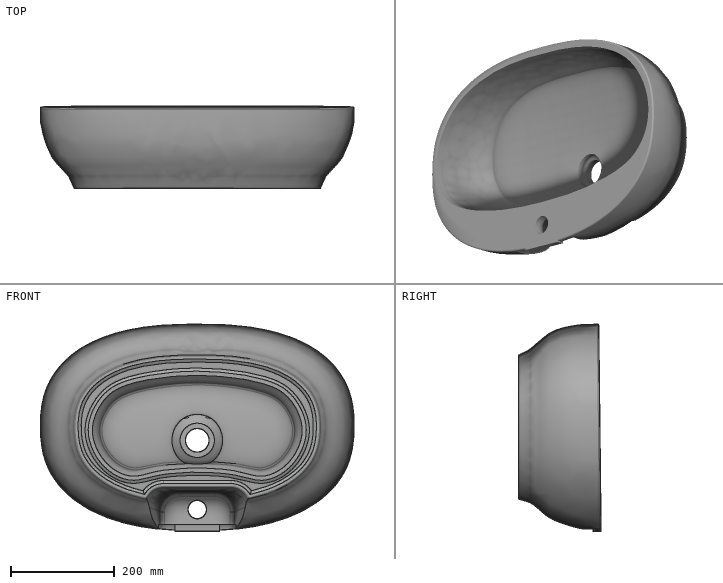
import cadquery as cq
import math


WIDTH = 605.62
TOTAL_DEPTH = 159.59
HEIGHT = 399.36
FOOT_Y = -TOTAL_DEPTH / 2
TOP_Z = HEIGHT / 2
BOTTOM_Z = -HEIGHT / 2

UPPER_EXPONENT = 2.45
LOWER_EXPONENT = 2.33
OVAL_POINTS = 24
LOOP_POINTS = 24

FOOT_SECTION = (0, 237, 140, 145)
BODY_SECTIONS = [
    FOOT_SECTION,
    (11, 240.5, 144, 148),
    (26, 249, 152.5, 153),
    (48, 270, 173, 170),
    (70, 284.5, 187, 183),
    (106, 297.5, 196.5, 194.5),
    (138, 302.6, TOP_Z - 0.1, 198.7),
    (TOTAL_DEPTH, WIDTH / 2, TOP_Z, 199),
]
RIM_SETBACK = 4.5
RIM_FILLET = 3
FOOT_FILLET = 2

BOWL_FLOOR_THICKNESS = 12
BOWL_SECTIONS = [
    (28, 195, 100, 85),
    (70, 262, 166, 100),
    (106, 281, 181, 108),
    (TOTAL_DEPTH, 288, 185, 112),
]

BEAN_HALF = [
    (0, 101),
    (60, 97.5),
    (118, 87.5),
    (150, 75.5),
    (178, 55),
    (202, -4),
    (173, -70),
    (122, -93.5),
    (88, -86.5),
    (45, -79.5),
    (0, -77.5),
]
POCKET_DEPTH = 40
POCKET_WALL_RUN = 22
POCKET_FILLET = 4
FLOOR_DEPTH = 16.5
FLOOR_RADIUS_X = 1550
FLOOR_RADIUS_Z = 500

CUT_MARGIN = 1

GROOVE_DEPTH = 4
GROOVE_WALL_RUN = 6
OUTER_LAND = 7.5
INNER_LAND = 8

DRAIN_Z = -24.2
BOSS_DEPTH = 2
BOSS_RADIUS = 33
BOSS_BASE_RADIUS = 50
DRAIN_RADIUS = 22.5
DRAIN_SEAT_DEPTH = BOSS_DEPTH + 15
DRAIN_SEAT_RADIUS = 32
DRAIN_SEAT_HEIGHT = 20

DECK_DEPTH = 140
NOTCH_FOOT = (100, -115, 35)
NOTCH_DECK = (70, -125.5, 37)
NOTCH_FILLET = 8
TAP_Z = -157.5
TAP_RADIUS = 17.5
TAB_WIDTH = 86
TAB_TOP_Z = -186
TAB_DEPTH = 144
REBATE_WIDTH = 150
REBATE_START_DEPTH = 120
REBATE_DEPTH = 148


def at_depth(depth):
    """Plane across the part; its local Y is +Z and it extrudes towards the rim."""
    plane = cq.Plane(origin=(0, FOOT_Y + depth, 0), xDir=(-1, 0, 0), normal=(0, 1, 0))
    return cq.Workplane(plane)


def smooth_loop(depth, points):
    """Closed spline with evenly numbered knots, so that stacked loops loft cleanly."""
    knots = range(len(points) + 1)
    return at_depth(depth).spline(points, periodic=True, parameters=knots).close()


def oval_points(half_width, top, bottom):
    """Points round an oval, starting at its lowest point."""
    points = []
    for i in range(OVAL_POINTS):
        angle = -math.pi / 2 - 2 * math.pi * i / OVAL_POINTS
        across = abs(math.cos(angle)) / half_width
        up = math.sin(angle)
        height, power = (top, UPPER_EXPONENT) if up >= 0 else (bottom, LOWER_EXPONENT)
        radius = (across**power + (abs(up) / height) ** power) ** (-1 / power)
        points.append((radius * math.cos(angle), radius * up))
    return points


def oval(depth, half_width, top, bottom):
    return smooth_loop(depth, oval_points(half_width, top, bottom))


def oval_loft(sections):
    wires = [oval(*section).val() for section in sections]
    return cq.Workplane(cq.Solid.makeLoft(wires))


def loft(wires):
    return cq.Workplane(cq.Solid.makeLoft(wires, True))


def offset_loop(loop, depth, distance):
    """Smooth wire lying the given distance outside a foot outline, moved to a depth."""
    edge = loop.edges().val()
    points = []
    for i in range(LOOP_POINTS):
        position = edge.positionAt(i / LOOP_POINTS)
        tangent = edge.tangentAt(i / LOOP_POINTS)
        points.append((position.x + distance * tangent.z, position.z - distance * tangent.x))
    return smooth_loop(depth, [(-x, z) for x, z in points]).val()


def flared(loop, start_depth, end_depth, foot_offset, slope):
    """Solid with sloping walls that lie foot_offset outside the loop in the foot plane."""
    return loft([
        offset_loop(loop, depth, foot_offset + slope * depth) for depth in (start_depth, end_depth)
    ])


def bean(depth):
    left_half = [(-x, z) for x, z in BEAN_HALF[-2:0:-1]]
    return smooth_loop(depth, BEAN_HALF + left_half)


def notch_outline(depth, half_width, top_z, radius):
    """Door-shaped outline open towards -Z, closed well below the part."""
    base_z = 2 * BOTTOM_Z
    diagonal = radius * (1 - math.sqrt(0.5))
    return (
        at_depth(depth)
        .moveTo(-half_width, base_z)
        .lineTo(-half_width, top_z - radius)
        .threePointArc((-half_width + diagonal, top_z - diagonal), (-half_width + radius, top_z))
        .lineTo(half_width - radius, top_z)
        .threePointArc((half_width - diagonal, top_z - diagonal), (half_width, top_z - radius))
        .lineTo(half_width, base_z)
        .close()
    )


def widened_notch(depth, margin):
    half_width, top_z, radius = NOTCH_FOOT
    return notch_outline(depth, half_width + margin, top_z + margin, radius + margin).val()


def dome(depth):
    """Barrel whose crown, level with the drain, sits at the given depth."""
    half = WIDTH / 2
    sag = FLOOR_RADIUS_X - math.sqrt(FLOOR_RADIUS_X**2 - half**2)
    crown_y = FOOT_Y + depth
    axis_y = crown_y + FLOOR_RADIUS_Z
    return (
        cq.Workplane("XY", origin=(0, 0, DRAIN_Z))
        .moveTo(-half, axis_y)
        .lineTo(-half, crown_y + sag)
        .threePointArc((0, crown_y), (half, crown_y + sag))
        .lineTo(half, axis_y)
        .close()
        .revolve(360, (-half, axis_y, 0), (half, axis_y, 0))
    )


def make_body():
    body = oval_loft(BODY_SECTIONS)
    rim_y = FOOT_Y + TOTAL_DEPTH
    above_rim = (
        cq.Workplane("YZ")
        .polyline([(rim_y, BOTTOM_Z), (rim_y - RIM_SETBACK, TOP_Z), (2 * rim_y, TOP_Z), (2 * rim_y, BOTTOM_Z)])
        .close()
        .extrude(WIDTH, both=True)
    )
    body = body.cut(above_rim)
    return body.faces(">Y").edges().fillet(RIM_FILLET)


def make_bowl():
    return oval_loft(BOWL_SECTIONS).intersect(dome(FLOOR_DEPTH + BOWL_FLOOR_THICKNESS))


def make_notch():
    foot = notch_outline(0, *NOTCH_FOOT).val()
    deck = notch_outline(DECK_DEPTH, *NOTCH_DECK).val()
    notch = loft([foot, deck])
    return notch.faces(">Y").edges(">Z or >X or <X").fillet(NOTCH_FILLET)


def make_groove():
    slope = GROOVE_WALL_RUN / GROOVE_DEPTH
    below_floor = GROOVE_DEPTH + CUT_MARGIN
    outer = flared(oval(*FOOT_SECTION), -CUT_MARGIN, GROOVE_DEPTH, -OUTER_LAND, -slope)
    notch_ends = [
        widened_notch(depth, OUTER_LAND + slope * depth) for depth in (-2 * CUT_MARGIN, below_floor)
    ]
    island = flared(bean(0), -2 * CUT_MARGIN, below_floor, INNER_LAND, slope)
    return outer.cut(loft(notch_ends)).cut(island)


def make_pocket():
    boss = (
        at_depth(BOSS_DEPTH)
        .center(0, DRAIN_Z)
        .circle(BOSS_RADIUS)
        .workplane(offset=FLOOR_DEPTH)
        .circle(BOSS_BASE_RADIUS)
        .loft()
    )
    pocket = flared(bean(0), -CUT_MARGIN, POCKET_DEPTH, 0, -POCKET_WALL_RUN / POCKET_DEPTH)
    pocket = pocket.cut(dome(FLOOR_DEPTH))
    pocket = pocket.faces(cq.selectors.TypeSelector("REVOLUTION")).edges().fillet(POCKET_FILLET)
    return pocket.cut(boss)


def make_drain():
    """Drain hole with a wider seat opening into the bowl."""
    hole = at_depth(0).center(0, DRAIN_Z).circle(DRAIN_RADIUS).extrude(TOTAL_DEPTH)
    seat = at_depth(DRAIN_SEAT_DEPTH).center(0, DRAIN_Z).circle(DRAIN_SEAT_RADIUS).extrude(DRAIN_SEAT_HEIGHT)
    return hole.union(seat)


def bottom_strip(width, start_depth, end_depth):
    drop = TAB_TOP_Z - BOTTOM_Z
    strip = at_depth(start_depth).center(0, TAB_TOP_Z - drop / 2).rect(width, drop)
    return strip.extrude(end_depth - start_depth)


def make_tab_rebate():
    """Deepens the bottom strip of the deck on which the tab stands."""
    return bottom_strip(REBATE_WIDTH, REBATE_START_DEPTH, REBATE_DEPTH)


def make_tab():
    return bottom_strip(TAB_WIDTH, TAB_DEPTH, TOTAL_DEPTH)


def make_tap_hole():
    return at_depth(0).center(0, TAP_Z).circle(TAP_RADIUS).extrude(TOTAL_DEPTH)


result = make_body().cut(make_bowl()).cut(make_notch())
result = result.faces("<Y").edges().fillet(FOOT_FILLET)
result = result.cut(make_groove()).cut(make_pocket()).cut(make_drain())
result = result.cut(make_tab_rebate()).union(make_tab()).cut(make_tap_hole())